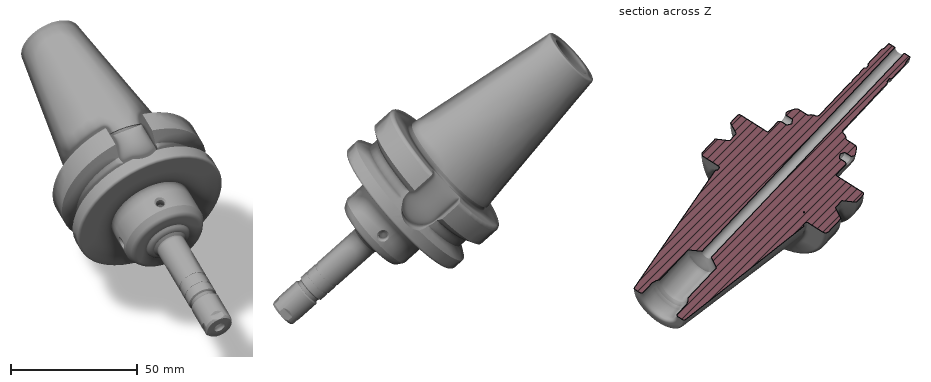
import cadquery as cq
import math

gauge_line = 65.5
flange_back = 67.3
flange_front = 92.3
collar_end = 108.5
nose_end = 111.0
nut_start = 142.0
length = 155.4

gauge_diameter = 44.5
taper_rate = 7 / 24
shank_edge_radius = 0.8
undercut_diameter = 43.2
undercut_radius = 0.8

flange_diameter = 63.0
flange_back_radius = 1.5
flange_front_radius = 1.0
groove_diameter = 53.0
groove_floor_width = 4.0
groove_center = 81.9
groove_half_angle = math.radians(30)

slot_width = 16.0
slot_floor_height = 22.5
slot_end = 88.6

collar_diameter = 34.0
collar_bevel_start = 105.0
collar_bevel_angle = math.radians(30)
collar_edge_radius = 2.0
nose_diameter = 19.0
nose_tip_diameter = 14.0
nose_round_end = 110.0
nose_round_middle = (109.5, 8.5)

stem_diameter = 12.0
ring_grooves = [(131.0, 132.4), (136.0, 136.9)]
ring_groove_depth = 0.2
neck_start = 140.5
neck_diameter = 10.5
neck_bevel = 0.5
nut_end_bevel_length = 1.0
nut_end_bevel_depth = 0.6

flat_count = 4
flat_start = 151.5
flat_height = 5.5
flat_ramp = 1.0

mouth_diameter = 17.0
mouth_edge_radius = 1.1
mouth_depth = 7.0
thread_diameter = 16.0
thread_chamfer_length = 1.1
thread_length = 0.3
thread_runout_length = 1.4
drill_diameter = 14.0
drill_depth = 28.0
coolant_diameter = 4.5
drill_tip_half_angle = math.radians(59)

screw_position = 101.3
screw_count = 4
screw_mouth_diameter = 5.0
screw_diameter = 3.4
screw_depth = 3.9


def revolve_about_x(outline):
    return outline.close().revolve(360, (0, 0, 0), (1, 0, 0))


def make_shank():
    small_radius = (gauge_diameter - taper_rate * gauge_line) / 2
    shank = revolve_about_x(
        cq.Workplane("XY")
        .lineTo(0, small_radius)
        .lineTo(gauge_line, gauge_diameter / 2)
        .lineTo(gauge_line, undercut_diameter / 2)
        .lineTo(flange_back - undercut_radius, undercut_diameter / 2)
        .radiusArc((flange_back, undercut_diameter / 2 + undercut_radius), -undercut_radius)
        .lineTo(flange_back, 0)
    )
    return shank.faces("<X").edges().fillet(shank_edge_radius)


def make_flange():
    flange = (
        cq.Workplane("YZ", origin=(flange_back, 0, 0))
        .circle(flange_diameter / 2)
        .extrude(flange_front - flange_back)
    )
    flange = flange.faces("<X").edges().fillet(flange_back_radius)
    flange = flange.faces(">X").edges().fillet(flange_front_radius)

    groove_depth = (flange_diameter - groove_diameter) / 2
    half_floor = groove_floor_width / 2
    half_mouth = half_floor + groove_depth * math.tan(groove_half_angle)
    groove = revolve_about_x(
        cq.Workplane("XY")
        .moveTo(groove_center - half_floor, groove_diameter / 2)
        .lineTo(groove_center + half_floor, groove_diameter / 2)
        .lineTo(groove_center + half_mouth, flange_diameter / 2)
        .lineTo(groove_center + half_mouth, flange_diameter)
        .lineTo(groove_center - half_mouth, flange_diameter)
        .lineTo(groove_center - half_mouth, flange_diameter / 2)
    )
    return flange.cut(groove)


def make_drive_slots():
    round_center = slot_end - slot_width / 2
    slot = (
        cq.Workplane("XY", origin=(0, 0, slot_floor_height))
        .moveTo(flange_back, -slot_width / 2)
        .lineTo(round_center, -slot_width / 2)
        .threePointArc((slot_end, 0), (round_center, slot_width / 2))
        .lineTo(flange_back, slot_width / 2)
        .close()
        .extrude(flange_diameter / 2)
    )
    return slot.union(slot.mirror("XY"))


def make_collar():
    collar_radius = collar_diameter / 2
    bevel_drop = (collar_end - collar_bevel_start) * math.tan(collar_bevel_angle)
    collar = revolve_about_x(
        cq.Workplane("XY")
        .moveTo(flange_front, 0)
        .lineTo(flange_front, collar_radius)
        .lineTo(collar_bevel_start, collar_radius)
        .lineTo(collar_end, collar_radius - bevel_drop)
        .lineTo(collar_end, 0)
    )
    collar = collar.faces(">X").edges().fillet(collar_edge_radius)
    nose = revolve_about_x(
        cq.Workplane("XY")
        .moveTo(collar_end, 0)
        .lineTo(collar_end, nose_diameter / 2)
        .threePointArc(nose_round_middle, (nose_round_end, nose_tip_diameter / 2))
        .lineTo(nose_end, stem_diameter / 2)
        .lineTo(nose_end, 0)
    )
    return collar.union(nose)


def make_stem():
    stem_radius = stem_diameter / 2
    neck_radius = neck_diameter / 2
    stem = revolve_about_x(
        cq.Workplane("XY")
        .moveTo(nose_end, 0)
        .lineTo(nose_end, stem_radius)
        .lineTo(neck_start - neck_bevel, stem_radius)
        .lineTo(neck_start, neck_radius)
        .lineTo(nut_start, neck_radius)
        .lineTo(nut_start, stem_radius - neck_bevel)
        .lineTo(nut_start + neck_bevel, stem_radius)
        .lineTo(length - nut_end_bevel_length, stem_radius)
        .lineTo(length, stem_radius - nut_end_bevel_depth)
        .lineTo(length, 0)
    )
    for start, end in ring_grooves:
        ring = (
            cq.Workplane("YZ", origin=(start, 0, 0))
            .circle(stem_radius + ring_groove_depth)
            .circle(stem_radius - ring_groove_depth)
            .extrude(end - start)
        )
        stem = stem.cut(ring)
    return stem


def make_nut_flats():
    flat = (
        cq.Workplane("XZ")
        .moveTo(flat_start, stem_diameter / 2)
        .lineTo(flat_start + flat_ramp, flat_height)
        .lineTo(length, flat_height)
        .lineTo(length, stem_diameter / 2)
        .close()
        .extrude(stem_diameter / 2, both=True)
    )
    return repeat_around_x(flat, flat_count)


def make_bore():
    tip_length = (drill_diameter - coolant_diameter) / 2 / math.tan(drill_tip_half_angle)
    thread_start = mouth_depth + thread_chamfer_length
    thread_end = thread_start + thread_length
    return revolve_about_x(
        cq.Workplane("XY")
        .lineTo(0, mouth_diameter / 2)
        .lineTo(mouth_depth, mouth_diameter / 2)
        .lineTo(thread_start, thread_diameter / 2)
        .lineTo(thread_end, thread_diameter / 2)
        .lineTo(thread_end + thread_runout_length, drill_diameter / 2)
        .lineTo(drill_depth, drill_diameter / 2)
        .lineTo(drill_depth + tip_length, coolant_diameter / 2)
        .lineTo(length, coolant_diameter / 2)
        .lineTo(length, 0)
    )


def make_screw_holes():
    mouth_radius = screw_mouth_diameter / 2
    screw_radius = screw_diameter / 2
    surface = collar_diameter / 2
    countersink_floor = surface - (mouth_radius - screw_radius)
    bottom = surface - screw_depth
    tip = bottom - screw_radius / math.tan(drill_tip_half_angle)
    hole = (
        cq.Workplane("XZ")
        .moveTo(0, tip)
        .lineTo(screw_radius, bottom)
        .lineTo(screw_radius, countersink_floor)
        .lineTo(mouth_radius, surface)
        .lineTo(0, surface)
        .close()
        .revolve(360, (0, 0, 0), (0, 1, 0))
        .translate((screw_position, 0, 0))
    )
    return repeat_around_x(hole, screw_count)


def repeat_around_x(shape, count):
    pattern = shape
    for i in range(1, count):
        pattern = pattern.union(shape.rotate((0, 0, 0), (1, 0, 0), i * 360 / count))
    return pattern


body = make_shank().union(make_flange()).union(make_collar()).union(make_stem())
body = body.cut(make_drive_slots()).cut(make_nut_flats()).cut(make_screw_holes()).cut(make_bore())

smallest_circle = cq.selectors.RadiusNthSelector(0)
result = body.faces("<X").edges(smallest_circle).fillet(mouth_edge_radius)